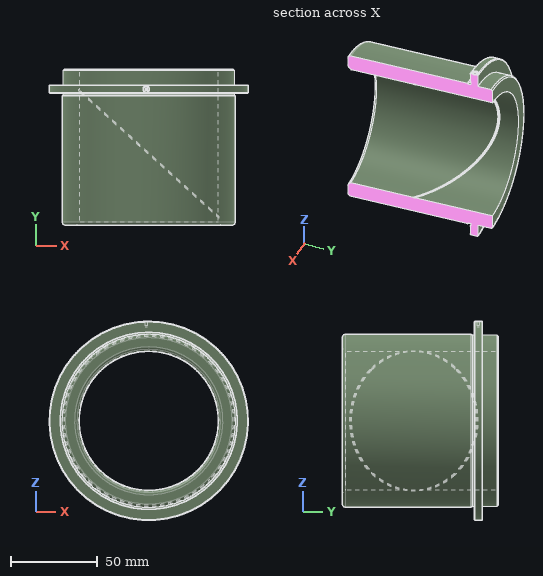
import cadquery as cq
import math

length = 90.0
bore_radius = 40.0
body_radius = 50.0
spigot_radius = 49.5
flange_radius = 57.5
flange_thickness = 5.0
spigot_length = 9.0

nose_fillet = 2.0
spigot_chamfer = 0.8
flange_chamfer = 0.5

mouth_cone_radius = 41.3
mouth_blend_radius = 2.0
mouth_angle = math.radians(45)

relief_width = 1.0
relief_runout = 0.6
face_recess_radius = 51.2
face_recess_depth = 0.3

groove_middle = 41.3
groove_reach = 36.3
groove_width = 0.8
groove_depth = 0.4

rim_hole_x = -1.5
recess_diameter = 4.0
recess_floor_diameter = 3.2
recess_depth = 0.4
rim_hole_diameter = 1.6
rim_hole_depth = 2.0
pilot_diameter = 0.8
pilot_depth = 3.0

flange_back = length - spigot_length
flange_front = flange_back - flange_thickness
body_end = flange_front - relief_width - relief_runout


def make_sleeve():
    """Revolve the wall section (radius, Y) about the Y axis."""
    blend_drop = mouth_blend_radius * math.sin(mouth_angle)
    blend_depth = mouth_blend_radius * (1 - math.cos(mouth_angle))
    blend_start = mouth_cone_radius + blend_drop
    blend_mid = (
        blend_start - mouth_blend_radius * math.sin(mouth_angle / 2),
        mouth_blend_radius * (1 - math.cos(mouth_angle / 2)),
    )
    mouth_depth = blend_depth + (mouth_cone_radius - bore_radius) / math.tan(mouth_angle)
    nose_mid_inset = nose_fillet * (1 - math.cos(math.radians(45)))
    recess_floor = flange_front + face_recess_depth

    section = (
        cq.Workplane("ZY")
        .moveTo(bore_radius, length)
        .lineTo(bore_radius, mouth_depth)
        .lineTo(mouth_cone_radius, blend_depth)
        .threePointArc(blend_mid, (blend_start, 0))
        .lineTo(body_radius - nose_fillet, 0)
        .threePointArc((body_radius - nose_mid_inset, nose_mid_inset), (body_radius, nose_fillet))
        .lineTo(body_radius, body_end)
        .lineTo(spigot_radius, body_end + relief_runout)
        .lineTo(spigot_radius, recess_floor)
        .lineTo(face_recess_radius - face_recess_depth, recess_floor)
        .lineTo(face_recess_radius, flange_front)
        .lineTo(flange_radius - flange_chamfer, flange_front)
        .lineTo(flange_radius, flange_front + flange_chamfer)
        .lineTo(flange_radius, flange_back - flange_chamfer)
        .lineTo(flange_radius - flange_chamfer, flange_back)
        .lineTo(spigot_radius, flange_back)
        .lineTo(spigot_radius, length - spigot_chamfer)
        .lineTo(spigot_radius - spigot_chamfer, length)
        .close()
    )
    return section.revolve(360, (0, 0), (0, 1))


def make_oil_groove():
    """Ring cut by a tilted slab: nearest the front at +X, deepest at -X."""
    outer_radius = bore_radius + groove_depth
    rise = groove_reach * body_radius / bore_radius
    half_width = groove_width / 2
    slab = (
        cq.Workplane("XY")
        .polyline([
            (-body_radius, groove_middle + rise - half_width),
            (body_radius, groove_middle - rise - half_width),
            (body_radius, groove_middle - rise + half_width),
            (-body_radius, groove_middle + rise + half_width),
        ])
        .close()
        .extrude(body_radius, both=True)
    )
    envelope = cq.Workplane("XZ").circle(outer_radius).extrude(-length)
    return slab.intersect(envelope)


def make_rim_hole():
    """Conical recess with a flat floor, a hole in the floor and a narrower pilot below it."""
    hole_y = (flange_front + flange_back) / 2
    rim = cq.Workplane("XY", origin=(rim_hole_x, hole_y, flange_radius))
    floor = cq.Workplane("XY", origin=(rim_hole_x, hole_y, flange_radius - recess_depth))

    recess = (
        rim.circle(recess_diameter / 2)
        .workplane(offset=-recess_depth)
        .circle(recess_floor_diameter / 2)
        .loft(ruled=True)
    )
    hole = floor.circle(rim_hole_diameter / 2).extrude(-rim_hole_depth)
    pilot = floor.circle(pilot_diameter / 2).extrude(-pilot_depth)
    return recess.union(hole).union(pilot)


result = make_sleeve().cut(make_oil_groove()).cut(make_rim_hole())